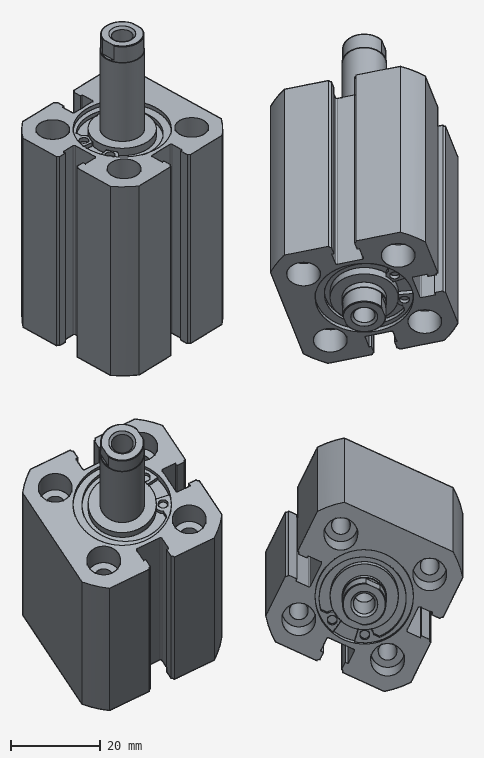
import cadquery as cq
import math

TOTAL_HEIGHT = 84.0
HOUSING_WIDTH = 36.0
HOUSING_HEIGHT = 52.0
HOUSING_CORNER_RADIUS = 22.5
ROD_LOWER_REACH = 6.0
BORE_RADIUS = 11.0

SLOT_MOUTH_WIDTH = 5.4
SLOT_EDGE_RADIUS = 0.5
SIDE_SLOT_WIDTH = 6.5
SIDE_SLOT_DEPTH = 6.05
SIDE_LIP_DEPTH = 2.6
FRONT_SLOT_WIDTH = 6.8
FRONT_SLOT_DEPTH = 6.0
FRONT_LIP_DEPTH = 2.4
SLOT_CORNER_RADIUS = 0.3

MOUNT_HOLE_PITCH = 22.0
MOUNT_HOLE_RADIUS = 2.1
COUNTERBORE_RADIUS = 3.8
COUNTERBORE_DEPTH = 7.0

ROD_DIAMETER = 10.0
TIP_RADIUS = 4.9
TIP_LENGTH = 4.45
TIP_CHAMFER = 0.2
FLAT_HALF_WIDTH = 4.5
FLAT_LENGTH = 4.0
ROD_HOLE_RADIUS = 2.4
ROD_HOLE_DEPTH = 10.1
ROD_HOLE_MOUTH_RADIUS = 3.0
DRILL_POINT_ANGLE = 118.0

HUB_RADIUS = 7.65
GLAND_LENGTH = 11.8
RING_SETBACK = 1.0
RING_THICKNESS = 1.0
RING_OPENING_RADIUS = 9.75
RING_OPENING_OFFSET = 0.8
RING_LAND_Y = -7.3
EAR_X = 4.0
EAR_Y = -8.2
EAR_RADIUS = 1.9
EAR_HOLE_RADIUS = 1.1
RING_GAP_INNER_WIDTH = 4.2
RING_GAP_OUTER_WIDTH = 5.4

HALF_WIDTH = HOUSING_WIDTH / 2
ROD_RADIUS = ROD_DIAMETER / 2
MID_HEIGHT = HOUSING_HEIGHT / 2
ROD_BOTTOM = -ROD_LOWER_REACH
ROD_TOP = ROD_BOTTOM + TOTAL_HEIGHT
RING_FLOOR_DEPTH = RING_SETBACK + RING_THICKNESS


def cylinder(radius, bottom, top, x=0, y=0):
    """Solid cylinder along Z between two heights."""
    return cq.Workplane("XY", origin=(x, y, bottom)).circle(radius).extrude(top - bottom)


def slot_cutter(width, depth, lip_depth, angle):
    """T-slot open towards -Y with rounded mouth edges, turned about Z to its side of the housing."""
    mouth = SLOT_MOUTH_WIDTH / 2
    edge = SLOT_EDGE_RADIUS
    face_y = -HALF_WIDTH
    lip_y = face_y + lip_depth
    chamber = (
        cq.Workplane("XY")
        .center(0, face_y + (lip_depth + depth) / 2)
        .rect(width, depth - lip_depth)
        .extrude(HOUSING_HEIGHT)
        .edges("|Z and >Y")
        .fillet(SLOT_CORNER_RADIUS)
    )
    throat = (
        cq.Workplane("XY")
        .moveTo(-mouth - edge, face_y)
        .radiusArc((-mouth, face_y + edge), edge)
        .lineTo(-mouth, lip_y)
        .lineTo(mouth, lip_y)
        .lineTo(mouth, face_y + edge)
        .radiusArc((mouth + edge, face_y), edge)
        .close()
        .extrude(HOUSING_HEIGHT)
    )
    return chamber.union(throat).rotate((0, 0, 0), (0, 0, 1), angle)


def make_housing():
    """Square extrusion with rounded-off corners, slots, mounting holes and a straight bore."""
    block = cq.Workplane("XY").rect(HOUSING_WIDTH, HOUSING_WIDTH).extrude(HOUSING_HEIGHT)
    body = block.intersect(cylinder(HOUSING_CORNER_RADIUS, 0, HOUSING_HEIGHT))
    body = body.cut(cylinder(BORE_RADIUS, 0, HOUSING_HEIGHT))

    body = body.cut(slot_cutter(FRONT_SLOT_WIDTH, FRONT_SLOT_DEPTH, FRONT_LIP_DEPTH, 0))
    for angle in (-90, 90):
        body = body.cut(slot_cutter(SIDE_SLOT_WIDTH, SIDE_SLOT_DEPTH, SIDE_LIP_DEPTH, angle))

    offset = MOUNT_HOLE_PITCH / 2
    for x in (-offset, offset):
        for y in (-offset, offset):
            body = body.cut(cylinder(MOUNT_HOLE_RADIUS, 0, HOUSING_HEIGHT, x, y))
            body = body.cut(cylinder(COUNTERBORE_RADIUS, 0, COUNTERBORE_DEPTH, x, y))
            upper_floor = HOUSING_HEIGHT - COUNTERBORE_DEPTH
            body = body.cut(cylinder(COUNTERBORE_RADIUS, upper_floor, HOUSING_HEIGHT, x, y))
    return body


def flat_cutter(rod_end):
    """Prism leaving one wrench flat on the -Y side of an upward rod end, with a 45 degree run-out."""
    run_out = TIP_RADIUS - FLAT_HALF_WIDTH
    flat_bottom = rod_end - FLAT_LENGTH
    return (
        cq.Workplane("YZ")
        .polyline([
            (-FLAT_HALF_WIDTH, rod_end),
            (-FLAT_HALF_WIDTH, flat_bottom),
            (-TIP_RADIUS, flat_bottom - run_out),
            (-TIP_RADIUS, rod_end),
        ])
        .close()
        .extrude(TIP_RADIUS, both=True)
    )


def hole_cutter(rod_end):
    """Blind drilled hole with a countersunk mouth and a conical bottom, in an upward rod end."""
    countersink = ROD_HOLE_MOUTH_RADIUS - ROD_HOLE_RADIUS
    floor = rod_end - ROD_HOLE_DEPTH
    point_depth = ROD_HOLE_RADIUS / math.tan(math.radians(DRILL_POINT_ANGLE / 2))
    return (
        cq.Workplane("XZ")
        .polyline([
            (0, rod_end),
            (ROD_HOLE_MOUTH_RADIUS, rod_end),
            (ROD_HOLE_RADIUS, rod_end - countersink),
            (ROD_HOLE_RADIUS, floor),
            (0, floor - point_depth),
        ])
        .close()
        .revolve(360, (0, 0, 0), (0, 1, 0))
    )


def make_rod():
    """Rod running through both glands, with the same reduced tip, flats and hole at each end."""
    tips = cylinder(TIP_RADIUS, ROD_BOTTOM, ROD_TOP).faces("<Z or >Z").chamfer(TIP_CHAMFER)
    rod = tips.union(cylinder(ROD_RADIUS, ROD_BOTTOM + TIP_LENGTH, ROD_TOP - TIP_LENGTH))
    middle = (ROD_BOTTOM + ROD_TOP) / 2
    flat = flat_cutter(ROD_TOP)
    end_cutters = [flat, flat.mirror("XZ"), hole_cutter(ROD_TOP)]
    for cutter in end_cutters:
        rod = rod.cut(cutter).cut(cutter.mirror("XY", (0, 0, middle)))
    return rod


def make_gland():
    """Upper bushing: a disc filling the bore, with a hub that ends flush with the housing."""
    shoulder = HOUSING_HEIGHT - RING_FLOOR_DEPTH
    bottom = HOUSING_HEIGHT - GLAND_LENGTH
    disc = cylinder(BORE_RADIUS, bottom, shoulder)
    hub = cylinder(HUB_RADIUS, bottom, HOUSING_HEIGHT)
    return disc.union(hub).cut(cylinder(ROD_RADIUS, bottom, HOUSING_HEIGHT))


def make_retaining_ring():
    """Upper internal snap ring, tapering in width, with two eared ends around a gap on the -Y side."""
    bottom = HOUSING_HEIGHT - RING_FLOOR_DEPTH
    top = bottom + RING_THICKNESS

    opening = cylinder(RING_OPENING_RADIUS, bottom, top, 0, -RING_OPENING_OFFSET)
    land = (
        cq.Workplane("XY", origin=(0, RING_LAND_Y - BORE_RADIUS / 2, bottom))
        .rect(2 * BORE_RADIUS, BORE_RADIUS)
        .extrude(RING_THICKNESS)
    )
    opening = opening.cut(land)
    for x in (-EAR_X, EAR_X):
        opening = opening.cut(cylinder(EAR_RADIUS, bottom, top, x, EAR_Y))

    inner = RING_GAP_INNER_WIDTH / 2
    outer = RING_GAP_OUTER_WIDTH / 2
    gap = (
        cq.Workplane("XY", origin=(0, 0, bottom))
        .polyline([
            (-inner, RING_LAND_Y),
            (-outer, -BORE_RADIUS),
            (outer, -BORE_RADIUS),
            (inner, RING_LAND_Y),
        ])
        .close()
        .extrude(RING_THICKNESS)
    )

    ring = cylinder(BORE_RADIUS, bottom, top).cut(opening).cut(gap)
    ring = ring.cut(cylinder(HUB_RADIUS, bottom, top))
    for x in (-EAR_X, EAR_X):
        ring = ring.cut(cylinder(EAR_HOLE_RADIUS, bottom, top, x, EAR_Y))
    return ring


def at_both_ends(upper_body):
    """The upper body and its mirror image at the lower end of the housing."""
    return [upper_body, upper_body.mirror("XY", (0, 0, MID_HEIGHT))]


housing = make_housing()
rod = make_rod()
glands = at_both_ends(make_gland())
retaining_rings = at_both_ends(make_retaining_ring())

bodies = [housing, rod, *glands, *retaining_rings]
result = cq.Compound.makeCompound([body.val() for body in bodies])